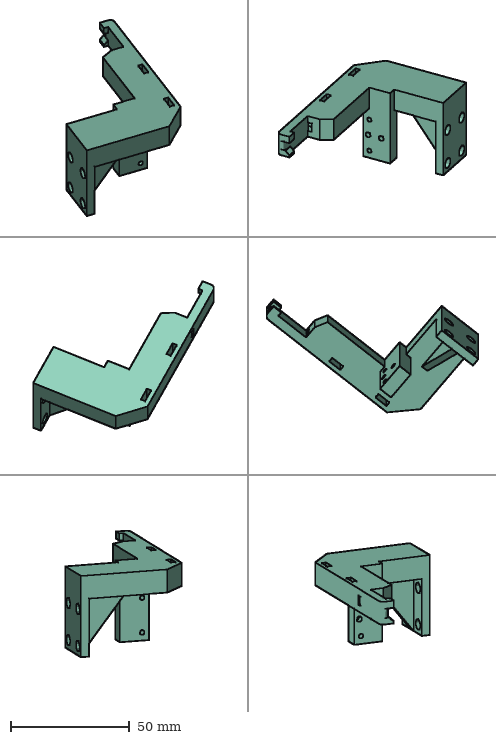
import cadquery as cq
import math

LENGTH = 76.5
DEPTH = 48.5
HEIGHT = 35.0
BODY_THICKNESS = 10.0

ARM_WIDTH = 4.05
HOOK_LENGTH = 4.2
HOOK_REACH = 6.0
TIP_RADIUS = 2.0
SHOULDER_X = 19.2
SHOULDER_CHAMFER_X = 2.75
SHOULDER_CHAMFER_Y = 5.2
BODY_WIDTH = 15.0
BACK_CHAMFER = 10.0

STRAP_TOP = 3.1
STRAP_HEIGHT = 4.05
STRAP_THICKNESS = HOOK_REACH - ARM_WIDTH
STRAP_BEND_RADIUS = 2.1
HOOK_LIP_HEIGHT = 1.0

SLOT_LENGTH = 6.0
SLOT_WIDTH = 2.0
SLOT_CENTERS_X = (36.4, 61.5)
SLOT_Y = -3.05

POST_X = 52.9
POST_THICKNESS = 6.0
POST_FRONT = 24.95
POST_WIDTH = 13.0
POST_HEIGHT = 34.05
POST_HOLES_Z = -23.0
THROUGH_HOLE_DIAMETER = 2.0
THROUGH_HOLE_SPACING = 15.0
THROUGH_HOLE_Y = -15.0
BLIND_HOLE_DIAMETER = 2.3
BLIND_HOLE_DEPTH = POST_THICKNESS / 2
BLIND_HOLES_Y = (-14.3, -20.65)

PLATE_WIDTH = 20.0
PLATE_THICKNESS = 3.7
PLATE_X = LENGTH - PLATE_WIDTH
PLATE_CENTER_X = LENGTH - PLATE_WIDTH / 2
GUSSET_THICKNESS = 3.0
MOUNT_HOLE_DIAMETER = 4.5
MOUNT_SPACING_X = 12.0
MOUNT_SPACING_Z = 16.0
LOWER_MOUNT_Z = 4.05 - HEIGHT


def box(x0, x1, y0, y1, z0, z1):
    """Box between two opposite corners."""
    return cq.Workplane("XY").box(x1 - x0, y1 - y0, z1 - z0, centered=False).translate((x0, y0, z0))


def make_body():
    """L-shaped slab with the thin hooked arm at its free end."""
    outline = [
        (0, 0),
        (LENGTH - BACK_CHAMFER, 0),
        (LENGTH, -BACK_CHAMFER),
        (LENGTH, -DEPTH),
        (PLATE_X, -DEPTH),
        (PLATE_X, -POST_FRONT),
        (POST_X, -POST_FRONT),
        (POST_X, -BODY_WIDTH),
        (SHOULDER_X + SHOULDER_CHAMFER_X, -BODY_WIDTH),
        (SHOULDER_X, SHOULDER_CHAMFER_Y - BODY_WIDTH),
        (SHOULDER_X, -ARM_WIDTH),
        (HOOK_LENGTH, -ARM_WIDTH),
        (HOOK_LENGTH, -HOOK_REACH),
        (0, -HOOK_REACH),
    ]
    slab = cq.Workplane("XY").polyline(outline).close().extrude(-BODY_THICKNESS)
    return slab.edges("|Z and <X and >Y").fillet(TIP_RADIUS)


def make_post():
    """Hanging post with two through holes and two blind holes along X."""
    post = box(POST_X, POST_X + POST_THICKNESS, -POST_FRONT, POST_WIDTH - POST_FRONT, -POST_HEIGHT, 0)
    side = cq.Workplane("YZ", origin=(POST_X, 0, 0))
    half_spacing = THROUGH_HOLE_SPACING / 2
    through_points = [(THROUGH_HOLE_Y, POST_HOLES_Z + offset) for offset in (-half_spacing, half_spacing)]
    blind_points = [(y, POST_HOLES_Z) for y in BLIND_HOLES_Y]
    through = side.pushPoints(through_points).circle(THROUGH_HOLE_DIAMETER / 2).extrude(POST_THICKNESS)
    blind = side.pushPoints(blind_points).circle(BLIND_HOLE_DIAMETER / 2).extrude(BLIND_HOLE_DEPTH)
    return post.cut(through).cut(blind)


def make_mount():
    """Front plate with four screw holes, braced by a triangular gusset."""
    plate_back = PLATE_THICKNESS - DEPTH
    plate = box(PLATE_X, LENGTH, -DEPTH, plate_back, -HEIGHT, 0)
    gusset = (
        cq.Workplane("YZ", origin=(PLATE_CENTER_X - GUSSET_THICKNESS / 2, 0, 0))
        .polyline([(-POST_FRONT, -BODY_THICKNESS), (plate_back, -BODY_THICKNESS), (plate_back, -HEIGHT)])
        .close()
        .extrude(GUSSET_THICKNESS)
    )
    holes = (
        cq.Workplane("XZ", origin=(PLATE_CENTER_X, plate_back, LOWER_MOUNT_Z + MOUNT_SPACING_Z / 2))
        .rarray(MOUNT_SPACING_X, MOUNT_SPACING_Z, 2, 2)
        .circle(MOUNT_HOLE_DIAMETER / 2)
        .extrude(PLATE_THICKNESS)
    )
    return plate.cut(holes).union(gusset)


def make_hook_cut():
    """Gap in the hook: rounded inner corner above a sloping lower lip."""
    gap_bottom = -STRAP_TOP - STRAP_HEIGHT
    round_start = STRAP_BEND_RADIUS - ARM_WIDTH
    corner = STRAP_BEND_RADIUS * (1 - math.sqrt(0.5))
    gap = (
        cq.Workplane("XY", origin=(0, 0, gap_bottom))
        .moveTo(0, round_start)
        .threePointArc((corner, corner - ARM_WIDTH), (STRAP_BEND_RADIUS, -ARM_WIDTH))
        .lineTo(HOOK_LENGTH, -ARM_WIDTH)
        .lineTo(HOOK_LENGTH, -HOOK_REACH)
        .lineTo(0, -HOOK_REACH)
        .close()
        .extrude(STRAP_HEIGHT)
    )
    slope = (
        cq.Workplane("YZ")
        .polyline([
            (-ARM_WIDTH, gap_bottom),
            (-HOOK_REACH, gap_bottom),
            (-HOOK_REACH, HOOK_LIP_HEIGHT - BODY_THICKNESS),
        ])
        .close()
        .extrude(HOOK_LENGTH)
    )
    return gap.union(slope)


def make_strap_channel():
    """Channel that enters the shoulder face, bends a quarter turn and leaves through the back face."""
    bottom = -STRAP_TOP - STRAP_HEIGHT
    bend_y = STRAP_BEND_RADIUS - ARM_WIDTH
    outer_radius = STRAP_BEND_RADIUS + STRAP_THICKNESS
    ring = (
        cq.Workplane("XY", origin=(SHOULDER_X, bend_y, bottom))
        .circle(outer_radius)
        .circle(STRAP_BEND_RADIUS)
        .extrude(STRAP_HEIGHT)
    )
    quadrant = box(SHOULDER_X, SHOULDER_X + outer_radius, -HOOK_REACH, bend_y, bottom, -STRAP_TOP)
    exit_run = box(SHOULDER_X + STRAP_BEND_RADIUS, SHOULDER_X + outer_radius, bend_y, 0, bottom, -STRAP_TOP)
    return ring.intersect(quadrant).union(exit_run)


def make_slots():
    """Rectangular slots through the full slab thickness."""
    centers = [(x, SLOT_Y) for x in SLOT_CENTERS_X]
    return cq.Workplane("XY").pushPoints(centers).rect(SLOT_LENGTH, SLOT_WIDTH).extrude(-BODY_THICKNESS)


result = make_body().union(make_post()).union(make_mount())
result = result.cut(make_hook_cut()).cut(make_strap_channel()).cut(make_slots())